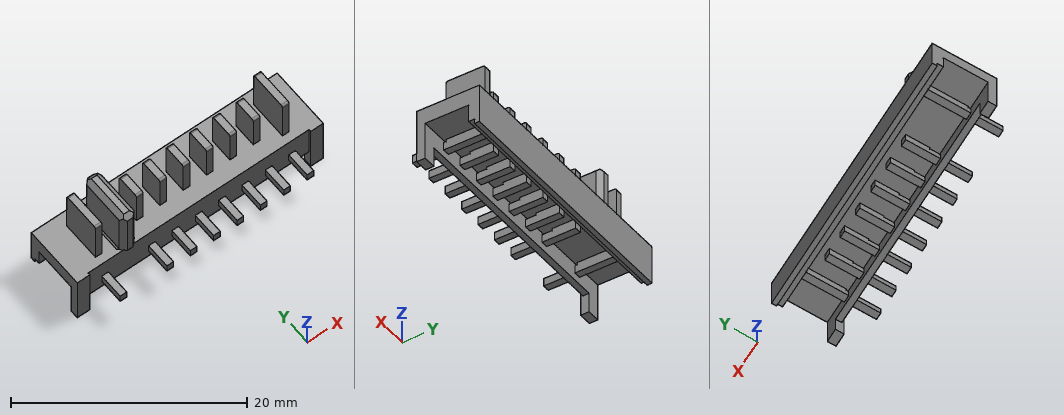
import cadquery as cq


length = 26.3
depth = 6.4
deck_top = 5.47
deck_thickness = 1.68
deck_underside = deck_top - deck_thickness
leg_width = 1.35
leg_thickness = 0.87
front_recess = 0.24
front_wall_bottom = 2.0
rear_wall_thickness = 1.1
rear_lip_thickness = 0.5
rear_wall_bottom = 2.0
rear_lip_bottom = 1.53

pitch = 2.5
contact_width = 0.7
blade_center_y = 3.1
tall_blade_depth = 4.0
tall_blade_top = 10.07
short_blade_depth = 2.4
short_blade_top = 9.28
blade_rounding = 0.2
pin_bottom = 2.75
pin_height = 0.82
pin_reach = 2.31
tall_slots = (-4, 4)
short_slots = range(-2, 4)

key_slot = -3
key_width = 1.6
key_depth = 5.5
key_top = 10.55
key_bevel = 0.5
side_flare = 0.15
rear_flare = 0.32


def make_housing():
    """Channel with a stepped rear wall and a leg at each front corner."""
    profile = [
        (0, 0),
        (leg_thickness, 0),
        (leg_thickness, deck_underside),
        (depth - rear_wall_thickness, deck_underside),
        (depth - rear_wall_thickness, rear_wall_bottom),
        (depth - rear_lip_thickness, rear_wall_bottom),
        (depth - rear_lip_thickness, rear_lip_bottom),
        (depth, rear_lip_bottom),
        (depth, deck_top),
        (0, deck_top),
    ]
    channel = cq.Workplane("YZ").polyline(profile).close().extrude(length / 2, both=True)

    span = length - 2 * leg_width
    setback = cq.Workplane("XY").box(span, front_recess, deck_top, centered=(True, False, False))
    foot_gap = cq.Workplane("XY").box(span, leg_thickness, front_wall_bottom, centered=(True, False, False))
    return channel.cut(setback).cut(foot_gap)


def make_contact(slot, blade_depth, blade_top):
    """Upright blade through the deck, with a solder pin out of the front wall."""
    blade = (
        cq.Workplane("XY")
        .box(contact_width, blade_depth, blade_top - pin_bottom, centered=(True, True, False))
        .edges("|X and >Z")
        .fillet(blade_rounding)
        .translate((0, blade_center_y, pin_bottom))
    )
    pin = (
        cq.Workplane("XY")
        .box(contact_width, pin_reach + blade_center_y, pin_height, centered=(True, False, False))
        .translate((0, -pin_reach, pin_bottom))
    )
    return blade.union(pin).translate((slot * pitch, 0, 0))


def make_key_face(angle, distance, flare, top_bevel):
    """Large block ending in one key face, turned by angle about the key axis.

    The face is upright at the given distance from the axis, slopes outward
    at 45 degrees over its lowest part and inward at 45 degrees at its top.
    """
    far = 2 * key_depth
    height = key_top - deck_top
    profile = [
        (-far, 0),
        (distance + flare, 0),
        (distance, flare),
        (distance, height - top_bevel),
        (distance - top_bevel, height),
        (-far, height),
    ]
    outline = [point for i, point in enumerate(profile) if point != profile[i - 1]]
    block = cq.Workplane("YZ").polyline(outline).close().extrude(far, both=True)
    return block.rotate((0, 0, 0), (0, 0, 1), angle)


def make_key():
    """Eight-sided polarising key, the common volume of its eight face blocks."""
    half_width = key_width / 2
    half_depth = key_depth / 2
    corner_distance = (half_width + half_depth - key_bevel) / 2**0.5

    key = make_key_face(0, half_depth, rear_flare, key_bevel)
    key = key.intersect(make_key_face(180, half_depth, 0, key_bevel))
    for side in (-1, 1):
        key = key.intersect(make_key_face(side * 90, half_width, side_flare, key_bevel))
        key = key.intersect(make_key_face(side * 45, corner_distance, rear_flare, 0))
        key = key.intersect(make_key_face(side * 135, corner_distance, 0, 0))
    return key.translate((key_slot * pitch, half_depth, deck_top))


result = make_housing().union(make_key())
for tall_slot in tall_slots:
    result = result.union(make_contact(tall_slot, tall_blade_depth, tall_blade_top))
for short_slot in short_slots:
    result = result.union(make_contact(short_slot, short_blade_depth, short_blade_top))